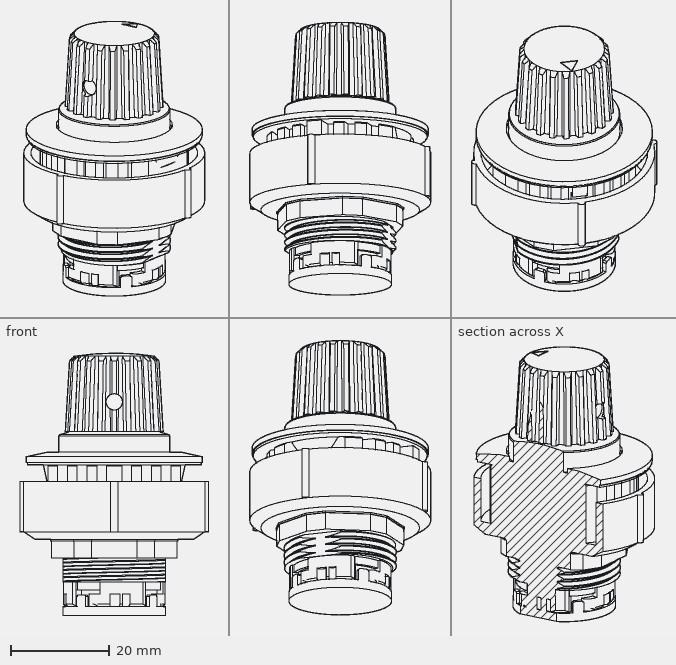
import cadquery as cq
import math

RING_TOP = 1.8
BARREL_TOP = 6.85
THREAD_TOP = 11.75
NUT_TOP = 15.55
COLLAR_BOTTOM = 17.1
CUP_FLOOR = 18.2
COLLAR_TOP = 27.35
FLANGE_BOTTOM = 30.75
FLANGE_TOP = 33.35
NECK_TOP = 36.9
KNOB_BOTTOM = 37.55
KNOB_TOP = 53.55

RING_RADIUS = 21.0 / 2
BARREL_RADIUS = 10.4
BARREL_FOOT = 2.35
BARREL_FOOT_RADIUS = 9.95
SLOT_RADIUS, SLOT_BLOCK_RADIUS = 9.1, 9.85
SLOT_FLOOR_START = -47.6
SLOT_BEVEL_RADIUS, SLOT_BEVEL_START = 10.1, -50.6
SLOT_MOUTH_START = -55.1
SLOT_END, LEG_START = -16.5, -25.3
LEG_TOP, BLOCK_BOTTOM = 4.4, 5.25
TAB_START, TAB_END = -46.8, -33.8
TAB_TOP, TAB_INNER_RADIUS, TAB_CHAMFER = 4.25, 9.65, 0.3
NOTCHES = ((0.7, 1.0), (13.7, 0.75))

THREAD_RADIUS = 22.9 / 2
THREAD_ROOT_RADIUS = 10.55
THREAD_FLAT = RING_RADIUS
THREAD_PITCH = 1.5
THREAD_FOOT, THREAD_CREST = 1.45, 0.2
THREAD_EMBED = 0.05
CREST_HEIGHT = 8.45

NUT_FLATS = 24.25
NUT_CORNERS = 25.6
HALF_SIXTH = 30.0
NUT_LIP, NUT_LIP_BOTTOM = 0.15, 15.2

COLLAR_RADIUS = 18.5
COLLAR_BORE_RADIUS = 34.0 / 2
COLLAR_FOOT_RADIUS = 16.2
BEAD_RADIUS = 0.75
BEAD_REACH = 38.5 / 2

BODY_RADIUS = 15.1
RIB_CHAMFER = 0.25
BODY_FLAT = 13.55
BODY_CORE_RADIUS = 25.3 / 2
CENTRE_RIB_WIDTH = 3.1
SIDE_RIBS = 3
RIB_WIDTH = (BODY_FLAT - CENTRE_RIB_WIDTH / 2) / (2 * SIDE_RIBS)
KEY_REACH, KEY_BOTTOM = 16.7, 27.7
LUG_TOP_RADIUS, LUG_BOTTOM_RADIUS = 29.0 / 2, 13.75

FLANGE_RADIUS = 36.0 / 2
FLANGE_STEP_RADIUS = 35.5 / 2
FLANGE_STEP = 31.2
FLANGE_EDGE = 32.4
FLANGE_FACE_RADIUS = 13.6
NECK_RADIUS = 22.7 / 2
NECK_GAP_RADIUS = 11.85
NECK_BEVEL, NECK_BEVEL_RADIUS = 36.65, 11.2

KNOB_RIBS = 21
KNOB_RADIUS, KNOB_SHOULDER_RADIUS, DOME_RADIUS = 10.0, 9.15, 8.2
KNOB_SHOULDER, DOME_EDGE = 51.95, 52.9
GROOVE_DEPTH = 0.95
RIB_TIP, RIB_ROOT = 0.95, 1.6
PIN_HOLE_RADIUS, PIN_HOLE_HEIGHT, PIN_HOLE_FLOOR = 3.3 / 2, 43.6, 8.15
ARROW_TIP, ARROW_BASE, ARROW_WIDTH, ARROW_DEPTH = 8.05, 5.15, 3.55, 0.1

FRONT = -90.0
OVERLAP = 0.25
CLEARANCE = 0.55
QUARTERS = 4


def disc(radius, bottom, top):
    return cq.Workplane("XY").workplane(offset=bottom).circle(radius).extrude(top - bottom)


def block(x_range, y_range, bottom, top):
    size = (x_range[1] - x_range[0], y_range[1] - y_range[0], top - bottom)
    return cq.Workplane("XY").box(*size, centered=False).translate((x_range[0], y_range[0], bottom))


def revolved(points):
    """Solid of revolution about Z from (radius, height) points."""
    return cq.Workplane("XZ").polyline(points).close().revolve(360, (0, 0), (0, 1))


def polar(radius, angle):
    turn = math.radians(FRONT + angle)
    return (radius * math.cos(turn), radius * math.sin(turn))


def wall_angle(radius, first, second):
    """Angle at a given radius of a slanted wall through two (radius, angle) points."""
    slope = (second[1] - first[1]) / (second[0] - first[0])
    return first[1] + slope * (radius - first[0])


def sector(inner, outer, starts, end, bottom, top):
    """Part of a ring from a pair of start angles (inner, outer) to an end angle."""
    inner_start, outer_start = starts
    return (
        cq.Workplane("XY").workplane(offset=bottom)
        .moveTo(*polar(inner, inner_start))
        .lineTo(*polar(outer, outer_start))
        .threePointArc(polar(outer, (outer_start + end) / 2), polar(outer, end))
        .lineTo(*polar(inner, end))
        .threePointArc(polar(inner, (inner_start + end) / 2), polar(inner, inner_start))
        .close().extrude(top - bottom)
    )


def around(shape, count):
    """The shapes of a full turn of equally spaced copies."""
    return [shape.rotate((0, 0, 0), (0, 0, 1), 360 / count * i) for i in range(count)]


def make_locking_ring():
    """Ring with four upright tabs."""
    ring = disc(RING_RADIUS, 0, TAB_TOP).cut(disc(TAB_INNER_RADIUS, RING_TOP, TAB_TOP))
    outside = RING_RADIUS + CLEARANCE
    gap_end = TAB_START + 360 / QUARTERS
    gap_starts = (TAB_END, TAB_END)
    gap = sector(TAB_INNER_RADIUS - CLEARANCE, outside, gap_starts, gap_end, RING_TOP, TAB_TOP)
    for copy in around(gap, QUARTERS):
        ring = ring.cut(copy)
    return ring.faces(">Z").edges("%LINE").chamfer(TAB_CHAMFER)


def make_barrel():
    barrel = disc(BARREL_RADIUS, BARREL_FOOT, BARREL_TOP)
    barrel = barrel.union(revolved([
        (0, RING_TOP),
        (BARREL_FOOT_RADIUS, RING_TOP),
        (BARREL_RADIUS, BARREL_FOOT),
        (0, BARREL_FOOT),
    ]))
    floor_point = (SLOT_RADIUS, SLOT_FLOOR_START)
    bevel_point = (SLOT_BEVEL_RADIUS, SLOT_BEVEL_START)
    mouth_point = (BARREL_RADIUS, SLOT_MOUTH_START)
    outside = RING_RADIUS
    block_start = wall_angle(SLOT_BLOCK_RADIUS, floor_point, bevel_point)
    wall_end = wall_angle(outside, floor_point, bevel_point)
    bevel_end = wall_angle(outside, bevel_point, mouth_point)
    deep_starts = (SLOT_FLOOR_START, wall_end)
    leg_slot = sector(SLOT_RADIUS, outside, deep_starts, LEG_START, RING_TOP, BLOCK_BOTTOM)
    side_slot = sector(SLOT_RADIUS, outside, deep_starts, SLOT_END, LEG_TOP, BLOCK_BOTTOM)
    entry_starts = (block_start, wall_end)
    entry = sector(SLOT_BLOCK_RADIUS, outside, entry_starts, SLOT_END, BLOCK_BOTTOM, BARREL_TOP)
    bevel_starts = (SLOT_BEVEL_START, bevel_end)
    bevel = sector(SLOT_BEVEL_RADIUS, outside, bevel_starts, TAB_START, RING_TOP, BARREL_TOP)
    cuts = [leg_slot, side_slot, entry, bevel]
    for angle, radius in NOTCHES:
        notch = disc(radius, RING_TOP, LEG_TOP).translate((*polar(BARREL_RADIUS, angle), 0))
        cuts.append(notch)
    for cut in cuts:
        for copy in around(cut, QUARTERS):
            barrel = barrel.cut(copy)
    leg_round = disc(BARREL_RADIUS - SLOT_RADIUS, RING_TOP, LEG_TOP)
    leg_round = leg_round.translate((*polar(SLOT_RADIUS, LEG_START), 0))
    for copy in around(leg_round, QUARTERS):
        barrel = barrel.union(copy)
    return barrel.union(make_locking_ring())


def make_thread():
    turns = math.ceil((THREAD_TOP - BARREL_TOP) / THREAD_PITCH) + 2
    start = CREST_HEIGHT - 2 * THREAD_PITCH
    foot_radius = THREAD_ROOT_RADIUS - THREAD_EMBED
    path = cq.Wire.makeHelix(THREAD_PITCH, turns * THREAD_PITCH, foot_radius)
    ridge = (
        cq.Workplane("XZ")
        .polyline([
            (foot_radius, -THREAD_FOOT / 2),
            (THREAD_RADIUS, -THREAD_CREST / 2),
            (THREAD_RADIUS, THREAD_CREST / 2),
            (foot_radius, THREAD_FOOT / 2),
        ]).close()
        .sweep(cq.Workplane(path), isFrenet=True)
        .translate((0, 0, start))
    )
    half_depth = THREAD_RADIUS + CLEARANCE
    between_flats = block(
        (-THREAD_FLAT, THREAD_FLAT), (-half_depth, half_depth), BARREL_TOP, THREAD_TOP
    )
    core = disc(THREAD_ROOT_RADIUS, BARREL_TOP, THREAD_TOP)
    return core.union(ridge).intersect(between_flats)


def hexagon(across_flats, bottom, top):
    """Hexagonal prism with two corners on the X axis."""
    across_corners = across_flats / math.cos(math.radians(HALF_SIXTH))
    return cq.Workplane("XY").workplane(offset=bottom).polygon(6, across_corners).extrude(top - bottom)


def trimmed_hexagon(offset, bottom, top):
    trim = hexagon(NUT_CORNERS + 2 * offset, bottom, top).rotate((0, 0, 0), (0, 0, 1), HALF_SIXTH)
    return hexagon(NUT_FLATS + 2 * offset, bottom, top).intersect(trim)


def make_nut():
    nut = trimmed_hexagon(0, THREAD_TOP, NUT_LIP_BOTTOM)
    return nut.union(trimmed_hexagon(NUT_LIP, NUT_LIP_BOTTOM, NUT_TOP))


def make_collar():
    collar = revolved([
        (0, NUT_TOP),
        (COLLAR_FOOT_RADIUS, NUT_TOP),
        (COLLAR_RADIUS, COLLAR_BOTTOM),
        (COLLAR_RADIUS, COLLAR_TOP),
        (0, COLLAR_TOP),
    ])
    bead = disc(BEAD_RADIUS, COLLAR_BOTTOM, COLLAR_TOP).translate((BEAD_REACH - BEAD_RADIUS, 0, 0))
    for copy in around(bead, QUARTERS):
        collar = collar.union(copy)
    return collar.cut(disc(COLLAR_BORE_RADIUS, CUP_FLOOR, COLLAR_TOP))


def make_body():
    """Core with ribs parallel to Y, a key on +Y and a tapered lug on each X side."""
    envelope = disc(BODY_RADIUS, CUP_FLOOR, FLANGE_BOTTOM).faces(">Z").chamfer(RIB_CHAMFER)
    body = disc(BODY_CORE_RADIUS, CUP_FLOOR, FLANGE_BOTTOM)
    half_centre = CENTRE_RIB_WIDTH / 2
    across = (-BODY_RADIUS, BODY_RADIUS)
    rib_spans = [(-half_centre, half_centre)]
    for i in range(SIDE_RIBS):
        inner = half_centre + (2 * i + 1) * RIB_WIDTH
        outer = inner + RIB_WIDTH
        rib_spans += [(inner, outer), (-outer, -inner)]
    for span in rib_spans:
        rib = block(span, across, CUP_FLOOR, FLANGE_BOTTOM)
        body = body.union(rib.intersect(envelope))
    body = body.union(block((-half_centre, half_centre), (0, KEY_REACH), KEY_BOTTOM, FLANGE_BOTTOM))
    cone = revolved([
        (0, COLLAR_TOP),
        (LUG_BOTTOM_RADIUS, COLLAR_TOP),
        (LUG_TOP_RADIUS, FLANGE_BOTTOM),
        (0, FLANGE_BOTTOM),
    ])
    inside_flat = BODY_FLAT - OVERLAP
    for span in ((inside_flat, BODY_RADIUS), (-BODY_RADIUS, -inside_flat)):
        body = body.union(cone.intersect(block(span, across, COLLAR_TOP, FLANGE_BOTTOM)))
    return body


def make_flange():
    return revolved([
        (0, FLANGE_BOTTOM),
        (FLANGE_STEP_RADIUS, FLANGE_BOTTOM),
        (FLANGE_STEP_RADIUS, FLANGE_STEP),
        (FLANGE_RADIUS, FLANGE_STEP),
        (FLANGE_RADIUS, FLANGE_EDGE),
        (FLANGE_FACE_RADIUS, FLANGE_TOP),
        (NECK_GAP_RADIUS, FLANGE_TOP),
        (NECK_GAP_RADIUS, FLANGE_EDGE),
        (NECK_RADIUS, FLANGE_EDGE),
        (NECK_RADIUS, NECK_BEVEL),
        (NECK_BEVEL_RADIUS, NECK_TOP),
        (KNOB_RADIUS - GROOVE_DEPTH, KNOB_BOTTOM),
        (0, KNOB_BOTTOM),
    ])


def knob_profile(bottom_radius, shoulder_radius):
    """Tapered knob with a bevelled shoulder and a domed top."""
    sphere_radius = (DOME_RADIUS**2 + (KNOB_TOP - DOME_EDGE) ** 2) / (2 * (KNOB_TOP - DOME_EDGE))
    half_way = DOME_RADIUS / 2
    half_height = KNOB_TOP - sphere_radius + math.sqrt(sphere_radius**2 - half_way**2)
    return (
        cq.Workplane("XZ").moveTo(0, KNOB_BOTTOM)
        .lineTo(bottom_radius, KNOB_BOTTOM)
        .lineTo(shoulder_radius, KNOB_SHOULDER)
        .lineTo(DOME_RADIUS, DOME_EDGE)
        .threePointArc((half_way, half_height), (0, KNOB_TOP))
        .close().revolve(360, (0, 0), (0, 1))
    )


def make_knob():
    envelope = knob_profile(KNOB_RADIUS, KNOB_SHOULDER_RADIUS)
    knob = knob_profile(KNOB_RADIUS - GROOVE_DEPTH, KNOB_SHOULDER_RADIUS - GROOVE_DEPTH)
    taper = (KNOB_RADIUS - KNOB_SHOULDER_RADIUS) / (KNOB_SHOULDER - KNOB_BOTTOM)
    lean = taper * (DOME_EDGE - KNOB_BOTTOM)
    flare = (RIB_ROOT - RIB_TIP) / 2 / GROOVE_DEPTH

    def rib_section(tip_radius):
        inner = tip_radius - GROOVE_DEPTH - OVERLAP
        half_inner = RIB_ROOT / 2 + flare * OVERLAP
        return [
            (-half_inner, -inner),
            (-RIB_TIP / 2, -tip_radius),
            (RIB_TIP / 2, -tip_radius),
            (half_inner, -inner),
        ]

    rib = (
        cq.Workplane("XY").workplane(offset=KNOB_BOTTOM)
        .polyline(rib_section(KNOB_RADIUS)).close()
        .workplane(offset=DOME_EDGE - KNOB_BOTTOM)
        .polyline(rib_section(KNOB_RADIUS - lean)).close()
        .loft(ruled=True)
        .intersect(envelope)
    )
    for copy in around(rib, KNOB_RIBS):
        knob = knob.union(copy)

    pin_hole = (
        cq.Workplane("XZ", origin=(0, -PIN_HOLE_FLOOR, PIN_HOLE_HEIGHT))
        .circle(PIN_HOLE_RADIUS).extrude(KNOB_RADIUS)
    )
    arrow = (
        cq.Workplane("XY").workplane(offset=KNOB_SHOULDER)
        .polyline([(0, ARROW_TIP), (-ARROW_WIDTH / 2, ARROW_BASE), (ARROW_WIDTH / 2, ARROW_BASE)])
        .close().extrude(KNOB_TOP - KNOB_SHOULDER)
        .cut(envelope.translate((0, 0, -ARROW_DEPTH)))
    )
    return knob.cut(pin_hole).cut(arrow)


result = (
    make_barrel()
    .union(make_thread())
    .union(make_nut())
    .union(make_collar())
    .union(make_body())
    .union(make_flange())
    .union(make_knob())
)